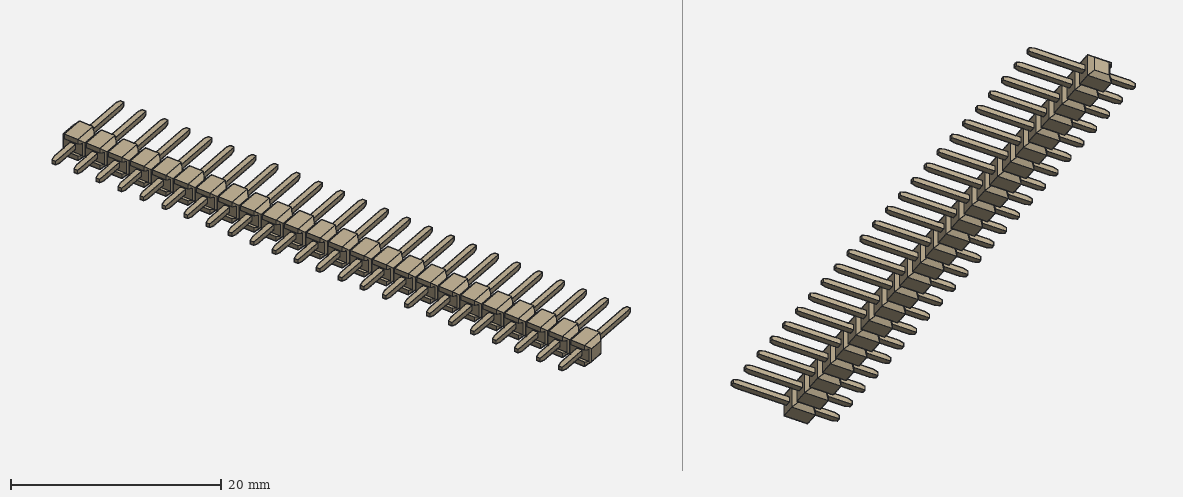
import cadquery as cq

total_length = 60.95
pin_count = 24
pitch = total_length / pin_count

block_depth = 2.55
block_height = 2.5
side_chamfer = 0.5
groove_depth = 0.3
groove_height = 1.4

pin_width = 0.6
tip_width = 0.4
tip_length = 0.55
long_pin_reach = 6.05
short_pin_reach = 2.9

block_front = -block_depth / 2
block_back = block_depth / 2
pin_front = block_front - short_pin_reach
pin_back = block_back + long_pin_reach


def make_block():
    """One insulator block, chamfered all round its two X faces, with a groove along its front face."""
    block = cq.Workplane("XY").box(pitch, block_depth, block_height)
    block = block.faces("<X or >X").edges().chamfer(side_chamfer)
    groove = cq.Workplane("XY").box(pitch, 2 * groove_depth, groove_height)
    return block.cut(groove.translate((0, block_front, 0)))


def make_tip(tip_y, direction):
    """Square frustum from the full pin section out to a small tip; direction is +1 or -1 along Y."""
    base = cq.Plane(
        origin=(0, tip_y - direction * tip_length, 0), xDir=(1, 0, 0), normal=(0, direction, 0)
    )
    return (
        cq.Workplane(base)
        .rect(pin_width, pin_width)
        .workplane(offset=tip_length)
        .rect(tip_width, tip_width)
        .loft(ruled=True)
    )


def make_pin():
    """One square pin along Y with tapered tips at both ends."""
    shank_length = pin_back - pin_front - 2 * tip_length
    shank_centre = (pin_front + pin_back) / 2
    shank = cq.Workplane("XY").box(pin_width, shank_length, pin_width).translate((0, shank_centre, 0))
    return shank.union(make_tip(pin_back, 1)).union(make_tip(pin_front, -1))


unit = make_block().union(make_pin())
first_x = (pitch - total_length) / 2
result = unit.translate((first_x, 0, 0))
for index in range(1, pin_count):
    result = result.union(unit.translate((first_x + index * pitch, 0, 0)))